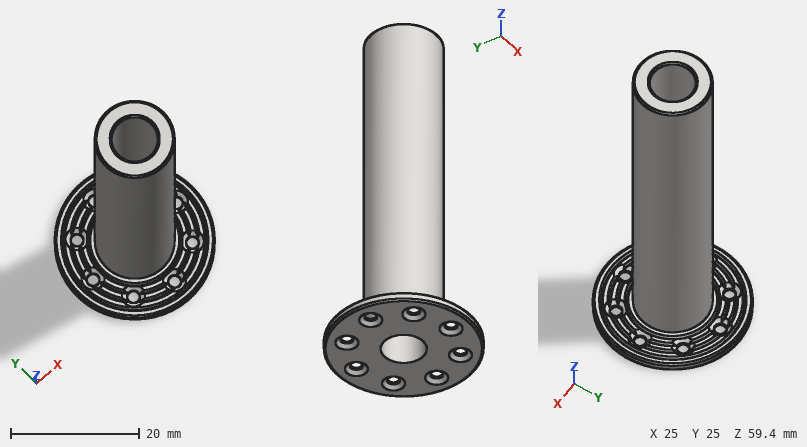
import cadquery as cq

total_height = 59.38
flange_diameter = 25.0
flange_thickness = 1.6
tube_diameter = 12.5
bore_diameter = 7.2
edge_chamfer = 0.3

hole_count = 8
hole_diameter = 2.0
hole_circle_radius = 9.0
countersink_diameter = 3.6
countersink_depth = 0.6

groove_count = 4
first_groove_radius = 7.24
groove_pitch = 1.32
groove_width = 0.6
groove_depth = 0.5


def make_body():
    """Flange with a tube standing on it and a bore through both; outer rims and bore mouth chamfered."""
    flange = cq.Workplane("XY").circle(flange_diameter / 2).extrude(flange_thickness)
    flange = flange.edges().chamfer(edge_chamfer)
    tube = cq.Workplane("XY").circle(tube_diameter / 2).extrude(total_height)
    tube = tube.faces(">Z").edges().chamfer(edge_chamfer)
    body = flange.union(tube)
    bore = cq.Workplane("XY").circle(bore_diameter / 2).extrude(total_height)
    body = body.cut(bore)
    bore_rim = cq.selectors.RadiusNthSelector(0)
    return body.faces(">Z").edges(bore_rim).chamfer(edge_chamfer)


def make_groove(radius):
    """Ring with a triangular section, point down, to cut from the top of the flange."""
    return (
        cq.Workplane("XZ")
        .moveTo(radius - groove_width / 2, flange_thickness)
        .lineTo(radius + groove_width / 2, flange_thickness)
        .lineTo(radius, flange_thickness - groove_depth)
        .close()
        .revolve(360, (0, 0, 0), (0, 1, 0))
    )


def make_bolt_hole():
    """Through-hole cutter centred on the Z axis, countersunk alike at the top and the bottom of the flange."""
    hole_radius = hole_diameter / 2
    countersink_radius = countersink_diameter / 2
    return (
        cq.Workplane("XZ")
        .lineTo(countersink_radius, 0)
        .lineTo(hole_radius, countersink_depth)
        .lineTo(hole_radius, flange_thickness - countersink_depth)
        .lineTo(countersink_radius, flange_thickness)
        .lineTo(0, flange_thickness)
        .close()
        .revolve(360, (0, 0, 0), (0, 1, 0))
    )


result = make_body()
for groove_index in range(groove_count):
    result = result.cut(make_groove(first_groove_radius + groove_index * groove_pitch))
bolt_hole = make_bolt_hole().translate((hole_circle_radius, 0, 0))
for hole_index in range(hole_count):
    result = result.cut(bolt_hole.rotate((0, 0, 0), (0, 0, 1), 360 * hole_index / hole_count))